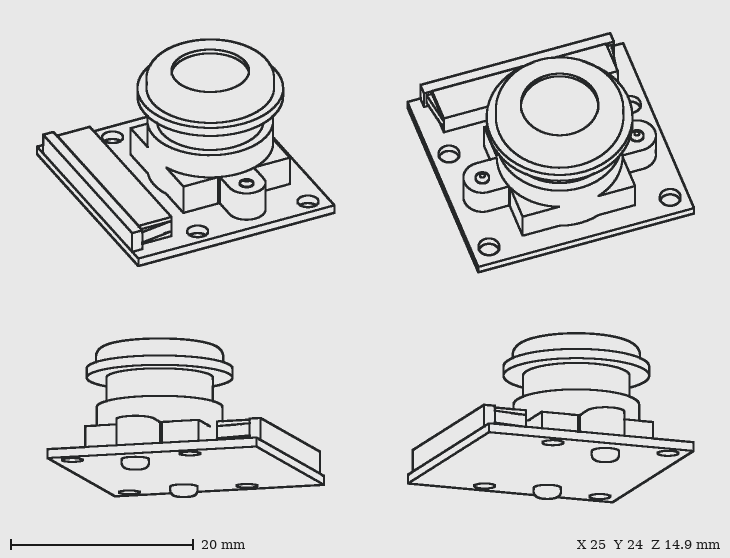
import cadquery as cq

BOARD_X = 25
BOARD_Y = 24
BOARD_Z = 1
MOUNT_HOLE_DIA = 2.3
MOUNT_HOLE_X = 10.5
MOUNT_HOLE_ROWS_Y = (9.75, -3.75)

AXIS_Y = 3
HOLDER_BASE_SIDE = 13.02
HOLDER_BASE_HEIGHT = 3.45
BARREL_DIA = 13.8
BARREL_HEIGHT = 6.35
EAR_WIDTH = 4.18

NECK_DIA = 11.7
NECK_HEIGHT = 3.25
FLANGE_DIA = 16
FLANGE_HEIGHT = 1.05
CAP_DIA = 14
CAP_HEIGHT = 2.25
CAP_ROUND = 1
WINDOW_DIA = 8.5
WINDOW_DEPTH = 0.5

SCREW_X = 8.95
SHANK_DIA = 1.5
SHANK_LENGTH = 4.35
SCREW_HEAD_DIA = 3
SCREW_HEAD_HEIGHT = 1
SCREW_HEAD_ROUND = 0.6
TIP_HEIGHT = 0.48
TIP_DIA = 0.55

LIP_LENGTH = 22
LIP_DEPTH = 1.25
LIP_HEIGHT = 2.45
CONNECTOR_LENGTH = 20.15
CONNECTOR_DEPTH = 5.25
CONNECTOR_HEIGHT = 2.5
WEDGE_WIDTH = 0.62
WEDGE_HEIGHT = 1.35
WEDGE_LIFT = 0.62

BARREL_TOP = BOARD_Z + BARREL_HEIGHT
EAR_TOP = BOARD_Z + HOLDER_BASE_HEIGHT
SCREW_POINTS = [(side * SCREW_X, AXIS_Y) for side in (-1, 1)]


def cylinder(diameter, height, bottom):
    """Round disc on the lens axis."""
    return cq.Workplane("XY", origin=(0, AXIS_Y, bottom)).circle(diameter / 2).extrude(height)


def cut_screw_holes(body, top):
    """Cut both shank holes through a body, from Z = 0 up to its top."""
    holes = cq.Workplane("XY").pushPoints(SCREW_POINTS).circle(SHANK_DIA / 2).extrude(top)
    return body.cut(holes)


def make_board():
    board = cq.Workplane("XY").box(BOARD_X, BOARD_Y, BOARD_Z, centered=(True, True, False))
    mount_points = [(side * MOUNT_HOLE_X, y) for side in (-1, 1) for y in MOUNT_HOLE_ROWS_Y]
    mount_holes = cq.Workplane("XY").pushPoints(mount_points).circle(MOUNT_HOLE_DIA / 2).extrude(BOARD_Z)
    return cut_screw_holes(board.cut(mount_holes), BOARD_Z)


def make_holder():
    base_plane = cq.Workplane("XY", origin=(0, AXIS_Y, BOARD_Z))
    base = base_plane.rect(HOLDER_BASE_SIDE, HOLDER_BASE_SIDE).extrude(HOLDER_BASE_HEIGHT)
    ears = base_plane.slot2D(2 * SCREW_X + EAR_WIDTH, EAR_WIDTH).extrude(HOLDER_BASE_HEIGHT)
    barrel = cylinder(BARREL_DIA, BARREL_HEIGHT, BOARD_Z)
    return cut_screw_holes(base.union(ears).union(barrel), EAR_TOP)


def make_lens():
    flange_bottom = BARREL_TOP + NECK_HEIGHT
    cap_bottom = flange_bottom + FLANGE_HEIGHT
    cap_top = cap_bottom + CAP_HEIGHT
    neck = cylinder(NECK_DIA, NECK_HEIGHT, BARREL_TOP)
    flange = cylinder(FLANGE_DIA, FLANGE_HEIGHT, flange_bottom)
    cap = cylinder(CAP_DIA, CAP_HEIGHT, cap_bottom).faces(">Z").edges().fillet(CAP_ROUND)
    window = cylinder(WINDOW_DIA, WINDOW_DEPTH, cap_top - WINDOW_DEPTH)
    return neck.union(flange).union(cap).cut(window)


def make_screw(x, y):
    head = cq.Workplane("XY", origin=(x, y, -SCREW_HEAD_HEIGHT)).circle(SCREW_HEAD_DIA / 2)
    head = head.extrude(SCREW_HEAD_HEIGHT).faces("<Z").edges().fillet(SCREW_HEAD_ROUND)
    shank = cq.Workplane("XY", origin=(x, y, 0)).circle(SHANK_DIA / 2).extrude(SHANK_LENGTH)
    tip = cq.Workplane("XY", origin=(x, y, SHANK_LENGTH)).circle(SHANK_DIA / 2)
    tip = tip.workplane(offset=TIP_HEIGHT).circle(TIP_DIA / 2).loft()
    return head.union(shank).union(tip)


def make_connector():
    front = -BOARD_Y / 2
    lip_back = front + LIP_DEPTH
    back = front + CONNECTOR_DEPTH
    half_length = CONNECTOR_LENGTH / 2
    on_board = cq.Workplane("XY", origin=(0, front, BOARD_Z))
    centred_in_x = (True, False, False)
    lip = on_board.box(LIP_LENGTH, LIP_DEPTH, LIP_HEIGHT, centered=centred_in_x)
    behind_lip = cq.Workplane("XY", origin=(0, lip_back, BOARD_Z))
    shell = behind_lip.box(CONNECTOR_LENGTH, CONNECTOR_DEPTH - LIP_DEPTH, CONNECTOR_HEIGHT, centered=centred_in_x)
    wedges = cq.Workplane("XY", origin=(0, 0, BOARD_Z + WEDGE_LIFT)).polyline([
        (-half_length, back),
        (half_length, back),
        (half_length + WEDGE_WIDTH, lip_back),
        (-half_length - WEDGE_WIDTH, lip_back),
    ]).close().extrude(WEDGE_HEIGHT)
    return lip.union(shell).union(wedges)


board = make_board()
holder = make_holder()
lens = make_lens()
connector = make_connector()
screws = [make_screw(x, y) for x, y in SCREW_POINTS]

result = cq.Compound.makeCompound([
    board.val(),
    holder.val(),
    lens.val(),
    connector.val(),
    *[screw.val() for screw in screws],
])